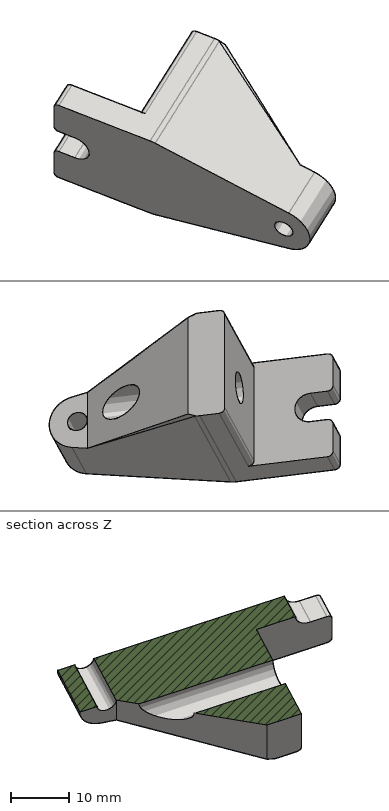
import cadquery as cq
import math

length = 49.0
depth = 25.0
height = 20.0
half_height = height / 2

plate_thickness = 5.0
corner_radius = 1.0
slot_width = 5.5
slot_center_x = 4.0

nose_radius = 5.0
nose_center_x = length - nose_radius
nose_depth = 10.0
pivot_diameter = 3.5
taper_start_x = 18.9
taper_blend_radius = 5.0

block_x = 14.0
mount_diameter = 5.5
mount_y = 15.0
slope_start_x = 20.5
slope_end_x = 42.2

bevel_width_x = 1.35
bevel_drop = 0.3

taper_run = nose_center_x - taper_start_x
taper_angle = math.atan2(half_height, taper_run) - math.asin(nose_radius / math.hypot(taper_run, half_height))
tangent_x = nose_center_x + nose_radius * math.sin(taper_angle)
tangent_z = nose_radius * math.cos(taper_angle)


def extrude_along_y(profile, start_y, end_y):
    """Extrude an XZ profile between two Y positions."""
    return profile.extrude(-(end_y - start_y)).translate((0, start_y, 0))


def tapered_prism(left_x, start_y, end_y):
    """Prism with a square left edge, tapered sides and a round nose."""
    profile = (
        cq.Workplane("XZ")
        .moveTo(left_x, -half_height)
        .lineTo(taper_start_x, -half_height)
        .lineTo(tangent_x, -tangent_z)
        .threePointArc((length, 0), (tangent_x, tangent_z))
        .lineTo(taper_start_x, half_height)
        .lineTo(left_x, half_height)
        .close()
    )
    prism = extrude_along_y(profile, start_y, end_y)
    middle_y = (start_y + end_y) / 2
    for z in (-half_height, half_height):
        shoulder = cq.selectors.NearestToPointSelector((taper_start_x, middle_y, z))
        prism = prism.edges(shoulder).fillet(taper_blend_radius)
    return prism


def slotted_plate():
    """Base plate with an open slot and rounded corners on its left edge."""
    plate = tapered_prism(0, 0, plate_thickness)
    slot_end = cq.Workplane("XZ").center(slot_center_x, 0).circle(slot_width / 2)
    slot_mouth = cq.Workplane("XZ").center(slot_center_x / 2, 0).rect(slot_center_x, slot_width)
    for profile in (slot_end, slot_mouth):
        plate = plate.cut(extrude_along_y(profile, 0, plate_thickness))
    return plate.edges("|Y and <X").fillet(corner_radius)


def sloped_block():
    """Upright block whose back slopes down to the depth of the nose."""
    block = tapered_prism(block_x, 0, depth).edges("|Y and <X").fillet(corner_radius)
    plan = (
        cq.Workplane("XY")
        .moveTo(block_x, plate_thickness)
        .lineTo(length, plate_thickness)
        .lineTo(length, nose_depth)
        .lineTo(slope_end_x, nose_depth)
        .lineTo(slope_start_x, depth)
        .lineTo(block_x, depth)
        .close()
        .extrude(half_height, both=True)
    )
    return block.intersect(plan)


def taper_height(x):
    """Half height of the tapered sides at a given X."""
    return half_height - (x - taper_start_x) * math.tan(taper_angle)


def slope_bevel(side):
    """Wedge removed from one long edge of the slope; side is +1 for the top, -1 for the bottom."""
    inner_x = slope_start_x - bevel_width_x
    inner = cq.Vector(inner_x, depth, side * taper_height(inner_x))
    outer = cq.Vector(slope_start_x, depth, side * (taper_height(slope_start_x) - bevel_drop))
    tip = cq.Vector(slope_end_x, nose_depth, side * taper_height(slope_end_x))
    normal = (outer - inner).cross(tip - inner)
    if normal.z * side < 0:
        normal = normal * -1
    bevel_plane = cq.Plane(origin=inner, xDir=tip - inner, normal=normal)
    outside = cq.Workplane(bevel_plane).rect(2 * length, 2 * length).extrude(height)
    zone = (
        cq.Workplane("XY")
        .polyline([(inner_x, depth), (slope_start_x, depth), (slope_end_x, nose_depth)])
        .close()
        .extrude(side * height)
    )
    return zone.intersect(outside)


result = slotted_plate().union(sloped_block())

for side in (1, -1):
    result = result.cut(slope_bevel(side))

pivot_hole = cq.Workplane("XZ").center(nose_center_x, 0).circle(pivot_diameter / 2)
result = result.cut(extrude_along_y(pivot_hole, 0, depth))

mount_hole = cq.Workplane("YZ").center(mount_y, 0).circle(mount_diameter / 2).extrude(length)
result = result.cut(mount_hole)